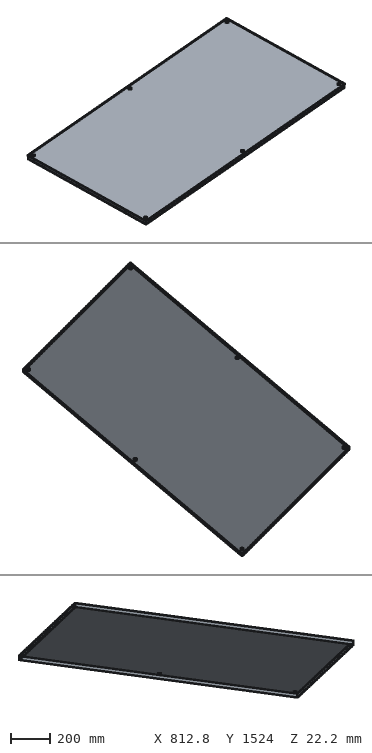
import cadquery as cq

WIDTH = 812.8
LENGTH = 1524.0
HEIGHT = 22.225

THICKNESS = 1.52
CORNER_GAP = 3.175

HOLE_DIAMETER = 14.3
HOLE_EDGE_DISTANCE = 20.6375


def top_sheet():
    """Flat sheet whose upper face is the top of the panel."""
    sheet = cq.Workplane("XY").box(WIDTH, LENGTH, THICKNESS, centered=(True, True, False))
    return sheet.translate((0, 0, HEIGHT - THICKNESS))


def flange(size_x, size_y, center_x, center_y):
    """Upright edge strip reaching from the bottom of the panel to its top face."""
    strip = cq.Workplane("XY").box(size_x, size_y, HEIGHT, centered=(True, True, False))
    return strip.translate((center_x, center_y, 0))


def folded_panel():
    """Top sheet with a downward flange along each of its four edges."""
    panel = top_sheet()
    short_flange_length = WIDTH - 2 * CORNER_GAP
    long_flange_length = LENGTH - 2 * THICKNESS
    long_flange_x = (WIDTH - THICKNESS) / 2
    short_flange_y = (LENGTH - THICKNESS) / 2
    for side in (-1, 1):
        panel = panel.union(flange(THICKNESS, long_flange_length, side * long_flange_x, 0))
        panel = panel.union(flange(short_flange_length, THICKNESS, 0, side * short_flange_y))
    return panel.clean()


def mounting_holes():
    """Cylinders that pierce the top sheet at the six mounting points."""
    hole_x = WIDTH / 2 - HOLE_EDGE_DISTANCE
    hole_y = LENGTH / 2 - HOLE_EDGE_DISTANCE
    points = [(x, y) for x in (-hole_x, hole_x) for y in (-hole_y, 0, hole_y)]
    return cq.Workplane("XY").pushPoints(points).circle(HOLE_DIAMETER / 2).extrude(HEIGHT)


result = folded_panel().cut(mounting_holes())